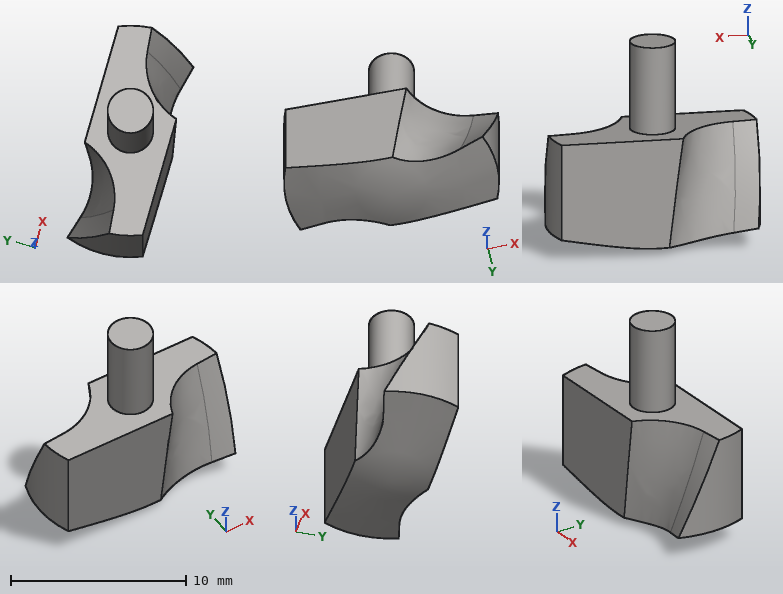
import cadquery as cq
import math

head_diameter = 12.28
head_thickness = 4.67
shoulder_height = 7.0
total_height = 12.2
tip_height = 1.3
shank_diameter = 2.6

face_inner_x = -4.7
face_inner_y = -0.33
face_slope = 5.4
flute_radius = 3.89
flute_twist = 30.0
flute_reach = head_diameter * 0.8

head_radius = head_diameter / 2


def make_head():
    """Pointed cylinder trimmed to a flat slab."""
    profile = [
        (0, 0),
        (head_radius, tip_height),
        (head_radius, shoulder_height),
        (0, shoulder_height),
    ]
    pointed = cq.Workplane("XZ").polyline(profile).close().revolve(360, (0, 0), (0, 1))
    slab = cq.Workplane("XY").box(
        head_diameter, head_thickness, shoulder_height, centered=(True, True, False)
    )
    return pointed.intersect(slab)


def make_flute_cutter():
    """Helical flute on the -X side, reaching the shoulder section at the top."""
    slope = math.radians(face_slope)
    center_x = face_inner_x - flute_radius * math.sin(slope)
    center_y = face_inner_y + flute_radius * math.cos(slope)
    arc_middle_angle = (slope - math.pi / 2) / 2
    arc_middle = (
        center_x + flute_radius * math.cos(arc_middle_angle),
        center_y + flute_radius * math.sin(arc_middle_angle),
    )
    arc_end = (center_x + flute_radius, center_y)
    face_outer_y = face_inner_y - (flute_reach + face_inner_x) * math.tan(slope)

    cutter = (
        cq.Workplane("XY")
        .moveTo(-flute_reach, face_outer_y)
        .lineTo(face_inner_x, face_inner_y)
        .threePointArc(arc_middle, arc_end)
        .lineTo(arc_end[0], flute_reach)
        .lineTo(-flute_reach, flute_reach)
        .close()
        .twistExtrude(shoulder_height, flute_twist)
    )
    return cutter.rotate((0, 0, 0), (0, 0, 1), -flute_twist)


head = make_head()
flute_cutter = make_flute_cutter()
for turn in (0, 180):
    head = head.cut(flute_cutter.rotate((0, 0, 0), (0, 0, 1), turn))

shank = (
    cq.Workplane("XY", origin=(0, 0, shoulder_height))
    .circle(shank_diameter / 2)
    .extrude(total_height - shoulder_height)
)

result = head.union(shank)